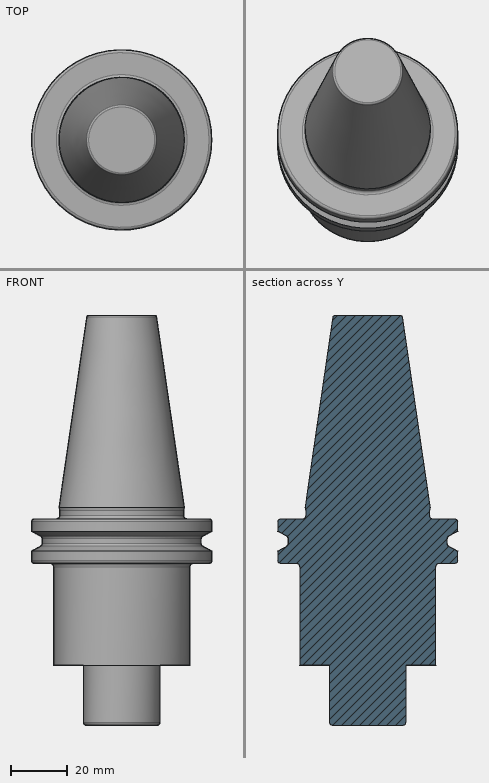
import cadquery as cq
import math

total_height = 144.2
pilot_radius = 27.0 / 2
pilot_length = 21.2
pilot_fillet = 1.2
body_radius = 48.0 / 2

flange_radius = 63.5 / 2
flange_bottom = 57.0
flange_top = 72.7
flange_fillet = 1.0

groove_radius = 56.0 / 2
groove_middle = (flange_bottom + flange_top) / 2
groove_mouth_half = 3.5
groove_flank_angle = math.radians(28)
groove_depth = flange_radius - groove_radius
groove_floor_half = groove_mouth_half - groove_depth * math.tan(groove_flank_angle)

neck_radius = 43.7 / 2
neck_top = 75.6

root_fillet = 1.2
groove_fillet = 1.0

taper_ratio = 7 / 24
taper_base_radius = 22.0
taper_base = 76.7
taper_tip_radius = taper_base_radius - (total_height - taper_base) * taper_ratio / 2
tip_fillet = 0.7

groove_floor_bottom = groove_middle - groove_floor_half
groove_floor_top = groove_middle + groove_floor_half

pilot_and_body_points = [
    (0, 0),
    (pilot_radius, 0),
    (pilot_radius, pilot_length),
    (body_radius, pilot_length),
    (body_radius, flange_bottom),
]

flange_points = [
    (flange_radius, flange_bottom),
    (flange_radius, groove_middle - groove_mouth_half),
    (groove_radius, groove_floor_bottom),
    (groove_radius, groove_floor_top),
    (flange_radius, groove_middle + groove_mouth_half),
    (flange_radius, flange_top),
]

neck_and_taper_points = [
    (neck_radius, flange_top),
    (neck_radius, neck_top),
    (taper_base_radius, taper_base),
    (taper_tip_radius, total_height),
    (0, total_height),
]


def fillet_ring(solid, ring_radius, height, fillet_radius):
    """Round the circular edge with the given radius and height."""
    half_size = ring_radius + 0.07
    half_height = 0.07
    box = cq.selectors.BoxSelector(
        (-half_size, -half_size, height - half_height),
        (half_size, half_size, height + half_height),
        boundingbox=True,
    )
    on_ring = cq.selectors.RadiusNthSelector(-1)
    return solid.edges(box).edges("%CIRCLE").edges(on_ring).fillet(fillet_radius)


half_section = pilot_and_body_points + flange_points + neck_and_taper_points
result = cq.Workplane("XZ").polyline(half_section).close().revolve(360, (0, 0, 0), (0, 1, 0))

fillets = [
    (pilot_radius, 0, pilot_fillet),
    (body_radius, flange_bottom, root_fillet),
    (flange_radius, flange_bottom, flange_fillet),
    (groove_radius, groove_floor_bottom, groove_fillet),
    (groove_radius, groove_floor_top, groove_fillet),
    (flange_radius, flange_top, flange_fillet),
    (neck_radius, flange_top, root_fillet),
    (taper_tip_radius, total_height, tip_fillet),
]
for ring_radius, height, fillet_radius in fillets:
    result = fillet_ring(result, ring_radius, height, fillet_radius)